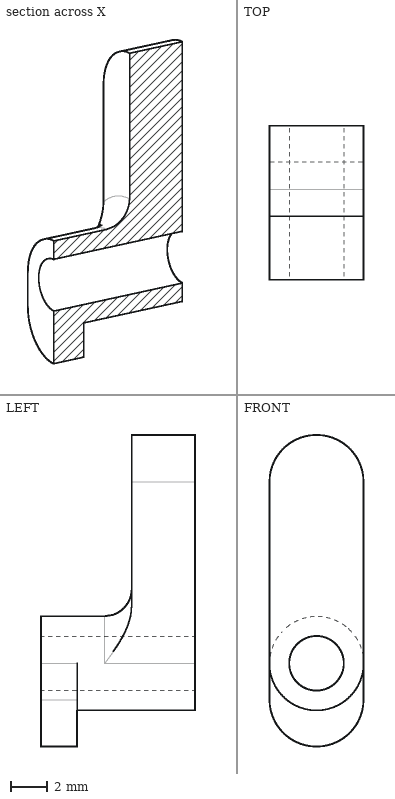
import cadquery as cq

width = 5.2
bore_diameter = 3.0
hub_length = 8.5
arm_thickness = 3.5
arm_reach = 10.0
foot_thickness = 2.0
foot_reach = 2.0
fillet_radius = 1.5

end_radius = width / 2
fillet_outer_radius = end_radius + fillet_radius
fillet_end_y = arm_thickness + fillet_radius


def cylinder_along_y(diameter, length):
    """Cylinder on the Y axis, from y = 0 towards +Y."""
    return cq.Workplane("XZ").circle(diameter / 2).extrude(-length)


def rounded_link(end_z, start_y, thickness):
    """Plate with one rounded end on the hub axis and the other at height end_z."""
    return (
        cq.Workplane("XZ", origin=(0, start_y, 0))
        .center(0, end_z / 2)
        .slot2D(abs(end_z) + width, width, 90)
        .extrude(-thickness)
    )


def hub_fillet():
    """Concave collar around the upper half of the hub, trimmed to the arm's width."""
    collar = (
        cq.Workplane("XY")
        .moveTo(0, arm_thickness)
        .lineTo(fillet_outer_radius, arm_thickness)
        .radiusArc((end_radius, fillet_end_y), fillet_radius)
        .lineTo(0, fillet_end_y)
        .close()
        .revolve(360, (0, 0, 0), (0, 1, 0))
    )
    upper_half = cq.Workplane("XY").box(
        width, hub_length, fillet_outer_radius, centered=(True, False, False)
    )
    return collar.intersect(upper_half)


hub = cylinder_along_y(width, hub_length)
arm = rounded_link(arm_reach, 0, arm_thickness)
foot = rounded_link(-foot_reach, hub_length - foot_thickness, foot_thickness)
bore = cylinder_along_y(bore_diameter, hub_length)

result = hub.union(arm).union(foot).union(hub_fillet()).cut(bore)